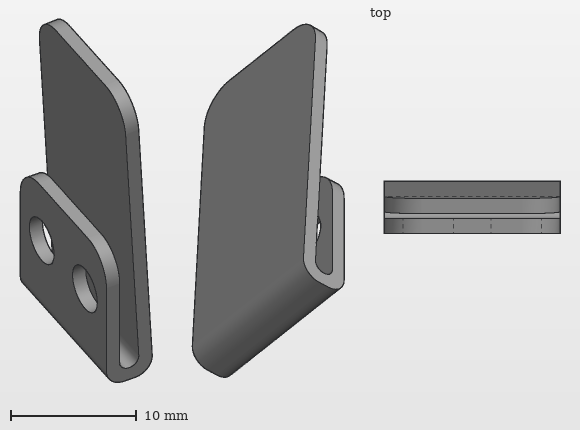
import cadquery as cq
import math

width = 14.0
height = 28.07
short_leaf_height = 13.08
thickness = 1.2
slot_radius = 0.87
bend_radius = 1.6
corner_radius = 3.0
lean = math.radians(3)

hole_diameter = 4.0
hole_spacing = 7.02
hole_height = 7.6

slot_center = thickness + slot_radius


def lean_point(offset, rise):
    """Point at a distance square to, then along, the leaning leaf from the slot centre."""
    y = slot_center + offset * math.cos(lean) - rise * math.sin(lean)
    z = slot_center + offset * math.sin(lean) + rise * math.cos(lean)
    return (y, z)


outer_offset = slot_radius + thickness
leaf_rise = (height - slot_center - outer_offset * math.sin(lean)) / math.cos(lean)
outer_foot_rise = -(slot_center + outer_offset * math.sin(lean)) / math.cos(lean)

clip = (
    cq.Workplane("YZ")
    .moveTo(0, 0)
    .lineTo(0, short_leaf_height)
    .lineTo(thickness, short_leaf_height)
    .lineTo(thickness, slot_center)
    .threePointArc((slot_center, thickness), lean_point(slot_radius, 0))
    .lineTo(*lean_point(slot_radius, leaf_rise))
    .lineTo(*lean_point(outer_offset, leaf_rise))
    .lineTo(*lean_point(outer_offset, outer_foot_rise))
    .close()
    .extrude(width / 2, both=True)
)

clip = clip.faces("<Z").edges("|X").fillet(bend_radius)

short_leaf_top = cq.selectors.BoxSelector(
    (-width, -thickness, short_leaf_height - thickness),
    (width, 2 * thickness, short_leaf_height + thickness),
)
clip = clip.edges("|Y").edges(short_leaf_top).fillet(corner_radius)
clip = clip.faces(">Z").edges("not |X").fillet(corner_radius)

holes = (
    cq.Workplane("XZ")
    .pushPoints([(side * hole_spacing / 2, hole_height) for side in (-1, 1)])
    .circle(hole_diameter / 2)
    .extrude(-thickness)
)

result = clip.cut(holes)